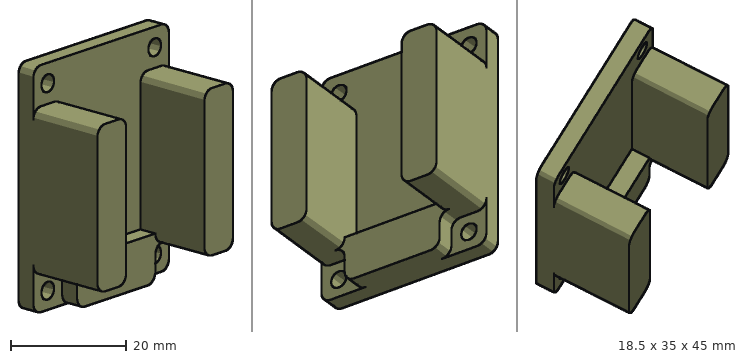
import cadquery as cq

plate_thickness = 3.5
plate_width = 35.0
plate_height = 45.0
corner_radius = 2.0

arm_length = 15.0
arm_width = 7.42
arm_top_gap = 7.5
arm_bottom = 7.0

foot_width = plate_width - 2 * arm_width
foot_height = arm_bottom + corner_radius
foot_thickness = 3.5

hole_diameter = 3.25
hole_spacing_y = 27.6
hole_top_gap = 3.75
hole_bottom_gap = 3.5


def block(x_start, length, y_min, width, z_min, z_max):
    """Sharp-edged block growing along +X."""
    blank = cq.Workplane("XY").box(length, width, z_max - z_min, centered=False)
    return blank.translate((x_start, y_min, z_min))


def make_plate():
    plate = block(0, plate_thickness, -plate_width / 2, plate_width, 0, plate_height)
    return plate.edges("|X").fillet(corner_radius)


def make_arm(y_min):
    arm = block(
        plate_thickness, arm_length, y_min, arm_width, arm_bottom, plate_height - arm_top_gap
    )
    return arm.edges("|X").fillet(corner_radius)


def make_foot():
    """Foot with rounded bottom corners and concave blends into the uprights."""
    side = foot_width / 2
    return (
        cq.Workplane("YZ", origin=(plate_thickness, 0, 0))
        .moveTo(-side + corner_radius, 0)
        .lineTo(side - corner_radius, 0)
        .radiusArc((side, corner_radius), -corner_radius)
        .lineTo(side, arm_bottom - corner_radius)
        .radiusArc((side + corner_radius, arm_bottom), corner_radius)
        .lineTo(side + corner_radius, foot_height)
        .lineTo(-side - corner_radius, foot_height)
        .lineTo(-side - corner_radius, arm_bottom)
        .radiusArc((-side, arm_bottom - corner_radius), corner_radius)
        .lineTo(-side, corner_radius)
        .radiusArc((-side + corner_radius, 0), -corner_radius)
        .close()
        .extrude(foot_thickness)
    )


def make_holes():
    hole_points = [
        (y, z)
        for y in (-hole_spacing_y / 2, hole_spacing_y / 2)
        for z in (hole_bottom_gap, plate_height - hole_top_gap)
    ]
    return (
        cq.Workplane("YZ")
        .pushPoints(hole_points)
        .circle(hole_diameter / 2)
        .extrude(plate_thickness)
    )


body = make_plate().union(make_foot())
for arm_y_min in (-plate_width / 2, plate_width / 2 - arm_width):
    body = body.union(make_arm(arm_y_min))
result = body.cut(make_holes())